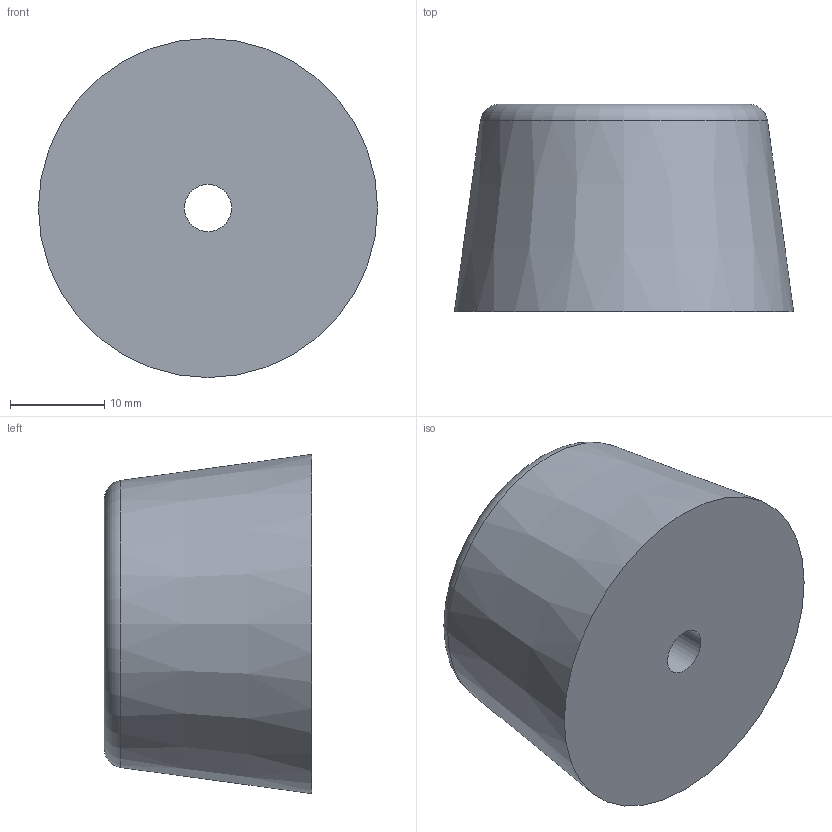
import cadquery as cq

base_diameter = 36.0
end_diameter = 30.0
height = 22.0
end_fillet_radius = 2.0
hole_diameter = 5.0


def tapered_body():
    """Truncated cone about the Y axis with a rounded narrow end."""
    profile = (
        cq.Workplane("YZ")
        .lineTo(0, base_diameter / 2)
        .lineTo(height, end_diameter / 2)
        .lineTo(height, 0)
        .close()
    )
    cone = profile.revolve(360, (0, 0, 0), (1, 0, 0))
    return cone.faces(">Y").edges().fillet(end_fillet_radius)


def through_hole():
    """Cylinder along the Y axis that cuts through the full height."""
    return cq.Workplane("XZ").circle(hole_diameter / 2).extrude(-height)


result = tapered_body().cut(through_hole())